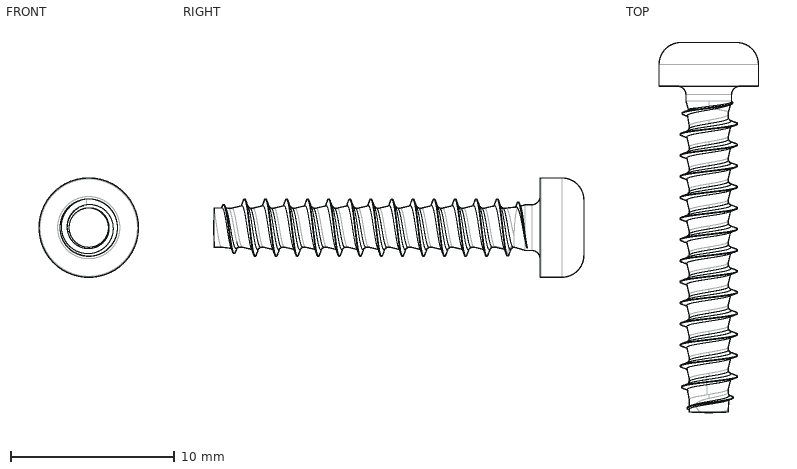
import cadquery as cq
import math

total_length = 22.7
head_diameter = 6.1
head_radius = head_diameter / 2
head_height = 2.7
head_dome_radius = 1.36
head_rim_fillet = 0.07

neck_radius = 1.4
neck_fillet = 0.5
neck_end = -0.9
neck_cone_length = 0.68

core_radius = 1.2
tip_cone_height = 0.05
tip_y = head_height - total_length
tip_rim_y = tip_y + tip_cone_height

counted_turns = 12
counted_turns_length = 15.47
pitch = counted_turns_length / counted_turns
crest_diameter = 3.52
crest_radius = crest_diameter / 2
crest_width = 0.05
shoulder_diameter = 2.7
shoulder_radius = shoulder_diameter / 2
flank_width = 0.14
collar_end = 0.35
root_flat_width = 0.15

buried_depth = 0.005
buried_radius = 1.1

crest_on_x_axis = -2.3
faded_crest_radius = 1.32
faded_shoulder_radius = 1.18
thread_start = -19.75
full_thread_start = -18.1
full_thread_end = -2.05
thread_end = -0.45
helix_steps_per_turn = 16


def make_body():
    """Head, neck and core as one profile turned about Y, drawn in the +Z half as (radius, Y)."""
    dome_mid = head_dome_radius * math.sqrt(0.5)
    neck_mid = neck_fillet * (1 - math.sqrt(0.5))
    rim_mid = head_rim_fillet * (1 - math.sqrt(0.5))
    dome_start = head_height - head_dome_radius
    dome_axis = head_radius - head_dome_radius
    profile = (
        cq.Workplane(cq.Plane((0, 0, 0), xDir=(0, 0, 1), normal=(-1, 0, 0)))
        .moveTo(0, tip_y)
        .lineTo(core_radius, tip_rim_y)
        .lineTo(core_radius, neck_end - neck_cone_length)
        .lineTo(neck_radius, neck_end)
        .lineTo(neck_radius, -neck_fillet)
        .threePointArc((neck_radius + neck_mid, -neck_mid), (neck_radius + neck_fillet, 0))
        .lineTo(head_radius - head_rim_fillet, 0)
        .threePointArc((head_radius - rim_mid, rim_mid), (head_radius, head_rim_fillet))
        .lineTo(head_radius, dome_start)
        .threePointArc((dome_axis + dome_mid, dome_start + dome_mid), (dome_axis, head_height))
        .lineTo(0, head_height)
        .close()
    )
    return profile.revolve(360, (0, 0, 0), (0, 1, 0))


def thread_profile(fade):
    """Corners of the thread's section as (radius, offset from the crest toward the head).

    The section takes in the cone-like slope from the thread down to the root of the next turn.
    A fade of 0 gives the full thread and a fade of 1 its low ends; the flanks keep their slope.
    """
    crest_r = crest_radius + (faded_crest_radius - crest_radius) * fade
    shoulder_r = shoulder_radius + (faded_shoulder_radius - shoulder_radius) * fade
    root_r = core_radius - buried_depth
    crest_edge = crest_width / 2
    flank_share = (crest_r - shoulder_r) / (crest_radius - shoulder_radius)
    shoulder = crest_edge + flank_width * flank_share
    slope_end = collar_end + root_flat_width - pitch
    return [
        (buried_radius, collar_end),
        (root_r, collar_end),
        (shoulder_r, shoulder),
        (crest_r, crest_edge),
        (crest_r, -crest_edge),
        (shoulder_r, -shoulder),
        (root_r, slope_end),
        (buried_radius, slope_end),
    ]


def thread_point(radius, crest_y, offset):
    """Point of the thread, along local Z, where its crest passes crest_y; the turn starts at +X."""
    angle = 2 * math.pi * (crest_y - crest_on_x_axis) / pitch
    return cq.Vector(radius * math.cos(angle), radius * math.sin(angle), crest_y + offset)


def thread_corners(crest_y, fade):
    """Points of the whole section where the crest passes crest_y."""
    return [thread_point(radius, crest_y, offset) for radius, offset in thread_profile(fade)]


def thread_stretch(start, end, fade_start, fade_end):
    """Helical faces of one stretch while the crest climbs from start to end."""
    steps = math.ceil(helix_steps_per_turn * (end - start) / pitch)
    sections = []
    for step in range(steps + 1):
        part = step / steps
        crest_y = start + (end - start) * part
        fade = fade_start + (fade_end - fade_start) * part
        sections.append(thread_corners(crest_y, fade))
    edges = [cq.Edge.makeSpline(list(path)) for path in zip(*sections)]
    return [cq.Face.makeRuledSurface(edges[i - 1], edges[i]) for i in range(len(edges))]


def thread_cap(crest_y):
    """Flat end face of the faded thread."""
    outline = cq.Wire.makePolygon(thread_corners(crest_y, 1), close=True)
    return cq.Face.makeFromWires(outline)


def make_thread():
    """Thread with fading ends, turned from local Z onto Y and trimmed at the tip."""
    faces = thread_stretch(thread_start, full_thread_start, 1, 0)
    faces += thread_stretch(full_thread_start, full_thread_end, 0, 0)
    faces += thread_stretch(full_thread_end, thread_end, 0, 1)
    faces += [thread_cap(thread_start), thread_cap(thread_end)]
    thread = cq.Solid.makeSolid(cq.Shell.makeShell(faces))
    thread = thread.rotate(cq.Vector(0, 0, 0), cq.Vector(1, 0, 0), -90)
    keep = cq.Workplane("XZ").circle(head_radius).extrude(-tip_rim_y)
    return cq.Workplane(obj=thread).intersect(keep)


result = make_body().union(make_thread())